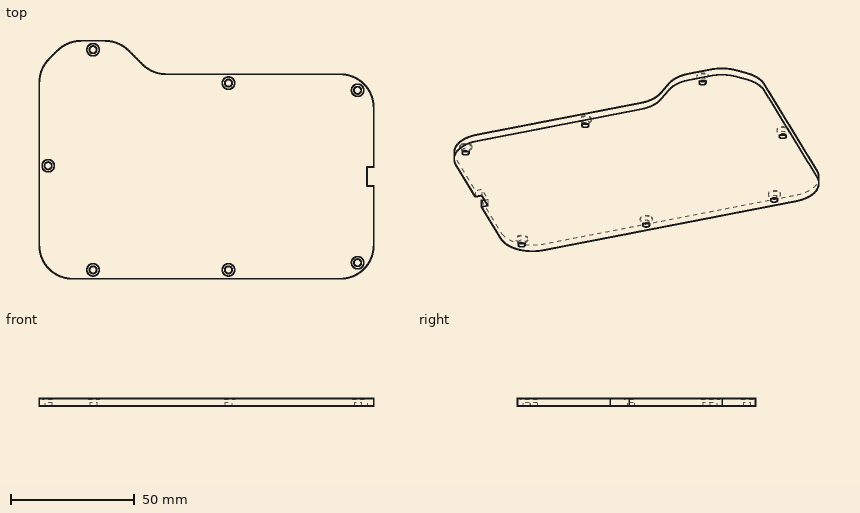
import cadquery as cq
import math

plate_length = 135.42
plate_thickness = 3.17
body_width = 82.9
overall_width = 96.4
corner_radius = 13.6

lobe_centre_x = 21.8
lobe_top_width = 20.9
lobe_rise = overall_width - body_width

notch_depth = 2.75
notch_width = 7.6

hole_inset = 3.65
hole_diameter = 2.85
countersink_diameter = 5.0
rim_depth = 0.4
countersink_angle = 82
middle_hole_x = 76.6
left_hole_y = 45.8


def make_plate():
    lobe_left_x = lobe_centre_x - lobe_top_width / 2
    lobe_right_x = lobe_centre_x + lobe_top_width / 2
    outline = [
        (0, 0),
        (plate_length, 0),
        (plate_length, body_width),
        (lobe_right_x + lobe_rise, body_width),
        (lobe_right_x, overall_width),
        (lobe_left_x, overall_width),
        (0, overall_width - lobe_left_x),
    ]
    plate = cq.Workplane("XY").polyline(outline).close().extrude(plate_thickness)
    return plate.edges("|Z").fillet(corner_radius)


def cut_notch(plate):
    notch = (
        cq.Workplane("XY")
        .center(plate_length, body_width / 2)
        .rect(2 * notch_depth, notch_width)
        .extrude(plate_thickness)
    )
    return plate.cut(notch)


def screw_hole_points():
    corner_offset = corner_radius - (corner_radius - hole_inset) * math.cos(math.radians(45))
    corner_hole_x = plate_length - corner_offset
    return [
        (lobe_centre_x, hole_inset),
        (lobe_centre_x, overall_width - hole_inset),
        (middle_hole_x, hole_inset),
        (middle_hole_x, body_width - hole_inset),
        (corner_hole_x, corner_offset),
        (corner_hole_x, body_width - corner_offset),
        (hole_inset, left_hole_y),
    ]


def make_screw_cutter():
    bore_radius = hole_diameter / 2
    rim_radius = countersink_diameter / 2
    cone_top_z = plate_thickness - rim_depth
    cone_depth = (rim_radius - bore_radius) / math.tan(math.radians(countersink_angle / 2))
    profile = [
        (0, 0),
        (bore_radius, 0),
        (bore_radius, cone_top_z - cone_depth),
        (rim_radius, cone_top_z),
        (rim_radius, plate_thickness),
        (0, plate_thickness),
    ]
    return cq.Workplane("XZ").polyline(profile).close().revolve(360, (0, 0), (0, 1))


def drill_screw_holes(plate):
    cutter = make_screw_cutter()
    for x, y in screw_hole_points():
        plate = plate.cut(cutter.translate((x, y, 0)))
    return plate


result = drill_screw_holes(cut_notch(make_plate()))